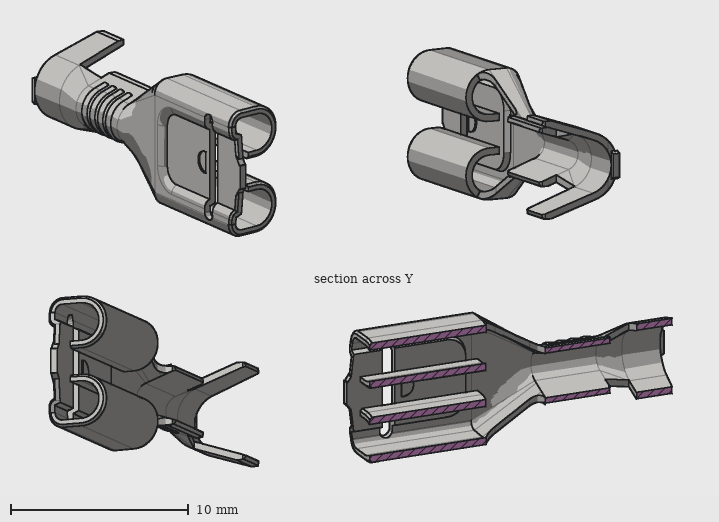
import math

import cadquery as cq


sheet = 0.40
total_length = 19.56
tail_end = 0.25
insulation_end = 2.61
barrel_start = 4.20
barrel_end = 8.17
receptacle_start = 11.81
half_width = 3.72
overshoot = 1.0
pick_margin = 0.04

lean = math.radians(18.5)
insulation_radius = 2.00
insulation_top = 4.58
barrel_radius = 1.27
barrel_top = 2.81
coin_length = 0.40
coin_depth = 0.15
tip_corner = 0.15

slant_base_y = 0.60
wing_tip_x = 0.59
tab_tip_half = 0.68
tab_root_half = 0.80

neck_top_rear = 1.44
neck_top_front = 1.77
web_top_rear = 1.87
web_top_front = 1.95
barrel_blend = 0.72
receptacle_blend = 0.78
shoulder_leg = 0.22

rib_count = 4
rib_first = 5.04
rib_pitch = 0.76
rib_width = 0.50
rib_height = 0.09
rib_top = 1.50

corner_radius = 0.84
curl_outer_radius = 1.48
curl_center_y = 1.95
curl_lip_y = 1.31
curl_center_z = half_width - curl_outer_radius
floor_half = half_width - corner_radius
front_root_x = 19.07
front_top_x = 18.86
front_chamfer = 0.14
front_chamfer_angle = 45

panel_start = 12.42
panel_half = 2.20
panel_corner = 1.00
panel_depth = 0.35
panel_step = 0.14
panel_round = 0.53
panel_bevel = 0.12
panel_edge_x = 19.15
nose_root_x = 19.29
nose_root_half = 1.00
nose_neck_x = 19.50
nose_half = 0.70
slot_start = 16.63
slot_end = 17.39
slot_half = 3.12
detent_x = 16.23
detent_half = 0.63
detent_reach = 0.72
detent_depth = 0.10


def section_plane(x):
    """Plane across the terminal; local coordinates are (Y, Z)."""
    return cq.Workplane("YZ", origin=(x, 0, 0))


def mirrored(point):
    return (point[0], -point[1])


def on_wing(radius, along, depth):
    """Point on a wing leg, a distance along it and a depth in from its outer face."""
    arm = radius - depth
    y = radius - arm * math.sin(lean) + along * math.cos(lean)
    z = arm * math.cos(lean) + along * math.sin(lean)
    return (y, z)


def leg_length(radius, top):
    """Leg length for which the inner edge of the tip is at height top."""
    return (top - on_wing(radius, 0, sheet)[0]) / math.cos(lean)


def on_circle(center, radius, angle):
    """Point on a circle; the angle turns from +Z toward +Y."""
    return (center[0] + radius * math.sin(angle), center[1] + radius * math.cos(angle))


def symmetric_section(x, half, round_bottom):
    """Closed section mirrored about Z = 0.

    half runs from the outer face of the bottom, around the edge, to its inner face.
    Each step is (end,) for a straight line or (middle, end) for an arc.
    """
    first = half[0][-1]
    last = half[-1][-1]

    def step_to(outline, middle, end):
        if middle is None:
            return outline.lineTo(*end)
        return outline.threePointArc(middle, end)

    outer_middle = (0, 0) if round_bottom else None
    inner_middle = (sheet, 0) if round_bottom else None
    outline = section_plane(x).moveTo(*mirrored(first))
    outline = step_to(outline, outer_middle, first)
    for step in half[1:]:
        outline = step_to(outline, step[0] if len(step) == 2 else None, step[-1])
    outline = step_to(outline, inner_middle, mirrored(last))
    for index in range(len(half) - 1, 0, -1):
        step = half[index]
        middle = mirrored(step[0]) if len(step) == 2 else None
        outline = step_to(outline, middle, mirrored(half[index - 1][-1]))
    return outline.close()


def crimp_section(x, radius, top):
    """U section with coined (thinned) wing tips."""
    length = leg_length(radius, top)
    half = [
        (on_wing(radius, 0, 0),),
        (on_wing(radius, length - coin_length, 0),),
        (on_wing(radius, length, coin_depth),),
        (on_wing(radius, length, sheet),),
        (on_wing(radius, 0, sheet),),
    ]
    return symmetric_section(x, half, round_bottom=True)


def crimp(start, end, radius, top):
    return crimp_section(start, radius, top).extrude(end - start)


def xy_prism(points):
    """Prism through the full width with an outline in the XY plane."""
    depth = half_width + overshoot
    return cq.Workplane("XY").polyline(points).close().extrude(depth, both=True)


def trim_wing_corners(body, x_rear, x_front, top):
    """Bevel the corners of the wing tips at both ends."""
    high = top + overshoot
    for x, inward in ((x_rear, 1), (x_front, -1)):
        outside = x - inward * overshoot
        corner = [
            (outside, top - tip_corner),
            (x, top - tip_corner),
            (x + inward * tip_corner, top),
            (x + inward * tip_corner, high),
            (outside, high),
        ]
        body = body.cut(xy_prism(corner))
    return body


def insulation_crimp():
    body = crimp(tail_end, insulation_end, insulation_radius, insulation_top)
    slant = [
        (-overshoot, slant_base_y),
        (tail_end, slant_base_y),
        (wing_tip_x, insulation_top),
        (wing_tip_x, insulation_top + overshoot),
        (-overshoot, insulation_top + overshoot),
    ]
    body = body.cut(xy_prism(slant))
    body = trim_wing_corners(body, wing_tip_x, insulation_end, insulation_top)
    tab = (
        cq.Workplane("XZ")
        .polyline([
            (0, -tab_tip_half),
            (0, tab_tip_half),
            (tail_end, tab_root_half),
            (tail_end, -tab_root_half),
        ])
        .close()
        .extrude(-sheet)
    )
    return body.union(tab)


def rib(x):
    """Round bead around the barrel bottom and up both legs."""
    radius = (rib_width ** 2 / 4 + rib_height ** 2) / (2 * rib_height)
    depth = radius - rib_height
    length = (rib_top - on_wing(barrel_radius, 0, 0)[0]) / math.cos(lean)
    root = on_wing(barrel_radius, 0, depth)
    end = on_wing(barrel_radius, length, depth)
    path = (
        section_plane(x)
        .moveTo(*mirrored(end))
        .lineTo(*mirrored(root))
        .threePointArc((depth, 0), root)
        .lineTo(*end)
    )
    across = cq.Plane(
        origin=(x, *mirrored(end)),
        xDir=(1, 0, 0),
        normal=(0, -math.cos(lean), math.sin(lean)),
    )
    return cq.Workplane(across).circle(radius).sweep(path)


def wire_barrel():
    body = crimp(barrel_start, barrel_end, barrel_radius, barrel_top)
    body = trim_wing_corners(body, barrel_start, barrel_end, barrel_top)
    foot = on_wing(barrel_radius, 0, sheet / 2)
    tip = on_wing(barrel_radius, leg_length(barrel_radius, barrel_top), sheet / 2)
    hollow = (
        section_plane(barrel_start)
        .moveTo(*mirrored(foot))
        .threePointArc((sheet / 2, 0), foot)
        .lineTo(*tip)
        .lineTo(*mirrored(tip))
        .close()
        .extrude(barrel_end - barrel_start)
    )
    for index in range(rib_count):
        body = body.union(rib(rib_first + index * rib_pitch).cut(hollow))
    return body


def loft(first, second):
    """Ruled sheet between two sections with matching corners."""
    wires = [first.wires().val(), second.wires().val()]
    return cq.Workplane(cq.Solid.makeLoft(wires, True))


def neck():
    """Web that narrows from the insulation crimp to the wire barrel."""
    high = barrel_top + overshoot
    web = loft(
        crimp_section(insulation_end, insulation_radius, high),
        crimp_section(barrel_start, barrel_radius, high),
    )
    above = [
        (insulation_end, neck_top_rear),
        (barrel_start, neck_top_front),
        (barrel_start, high + overshoot),
        (insulation_end, high + overshoot),
    ]
    return web.cut(xy_prism(above))


def shoulder_rear_section():
    """Barrel section, split along its legs to match the receptacle section."""
    top = leg_length(barrel_radius, barrel_top)
    fold = leg_length(barrel_radius, web_top_front)
    half = [
        (on_wing(barrel_radius, 0, 0),),
        (on_wing(barrel_radius, shoulder_leg, 0),),
        (on_wing(barrel_radius, fold, 0),),
        (on_wing(barrel_radius, top, 0),),
        (on_wing(barrel_radius, top, sheet),),
        (on_wing(barrel_radius, fold, sheet),),
        (on_wing(barrel_radius, shoulder_leg, sheet),),
        (on_wing(barrel_radius, 0, sheet),),
    ]
    return symmetric_section(barrel_end, half, round_bottom=True)


def receptacle_corner(depth, turn=0):
    """Point on the lower corner, a distance in from its outer face."""
    return on_circle((corner_radius, floor_half), corner_radius - depth, turn)


def curl_point(depth, turn):
    """Point on the curl, a distance in from its outer face."""
    return on_circle((curl_center_y, curl_center_z), curl_outer_radius - depth, turn)


def shoulder_front_section():
    """Receptacle section up to the lower part of the curl."""
    turn = math.asin(receptacle_blend / curl_outer_radius)
    half = [
        ((0, floor_half),),
        (receptacle_corner(0, -math.pi / 4), receptacle_corner(0)),
        (curl_point(0, 0),),
        (curl_point(0, turn / 2), curl_point(0, turn)),
        (curl_point(sheet, turn),),
        (curl_point(sheet, turn / 2), curl_point(sheet, 0)),
        (receptacle_corner(sheet),),
        (receptacle_corner(sheet, -math.pi / 4), (sheet, floor_half)),
    ]
    return symmetric_section(receptacle_start, half, round_bottom=False)


def shoulder():
    """Web that widens from the wire barrel to the receptacle."""
    web = loft(shoulder_rear_section(), shoulder_front_section())
    diagonal = math.sqrt(0.5)
    high = barrel_top + overshoot
    barrel_mid = barrel_blend * (1 - diagonal)
    receptacle_mid = receptacle_blend * (1 - diagonal)
    above = (
        cq.Workplane("XY")
        .moveTo(barrel_end, high)
        .lineTo(barrel_end, web_top_rear + barrel_blend)
        .threePointArc(
            (barrel_end + barrel_mid, web_top_rear + barrel_mid),
            (barrel_end + barrel_blend, web_top_rear),
        )
        .lineTo(receptacle_start - receptacle_blend, web_top_front)
        .threePointArc(
            (receptacle_start - receptacle_mid, web_top_front + receptacle_mid),
            (receptacle_start, web_top_front + receptacle_blend),
        )
        .lineTo(receptacle_start, high)
        .close()
        .extrude(half_width + overshoot, both=True)
    )
    return web.cut(above)


def receptacle_shell():
    """Flat floor with both sides rolled inward over it."""
    quarter = math.pi / 2
    half = [
        ((0, floor_half),),
        (receptacle_corner(0, -math.pi / 4), receptacle_corner(0)),
        (curl_point(0, 0),),
        (curl_point(0, quarter), curl_point(0, 2 * quarter)),
        ((curl_lip_y, curl_center_z - curl_outer_radius),),
        ((curl_lip_y, curl_center_z - curl_outer_radius + sheet),),
        (curl_point(sheet, 2 * quarter),),
        (curl_point(sheet, quarter), curl_point(sheet, 0)),
        (receptacle_corner(sheet),),
        (receptacle_corner(sheet, -math.pi / 4), (sheet, floor_half)),
    ]
    section = symmetric_section(receptacle_start, half, round_bottom=False)
    return section.extrude(total_length - receptacle_start)


def side_tip(slant):
    """Tapered block filling the outline of one rolled side up to its slanted front."""
    inner_z = curl_center_z - curl_outer_radius
    back = front_root_x - front_chamfer
    plane = cq.Plane(
        origin=(back, 0, 0),
        xDir=(-math.sin(slant), math.cos(slant), 0),
        normal=(math.cos(slant), math.sin(slant), 0),
    )
    return (
        cq.Workplane(plane)
        .moveTo(0, floor_half)
        .threePointArc(receptacle_corner(0, -math.pi / 4), receptacle_corner(0))
        .lineTo(*curl_point(0, 0))
        .threePointArc(curl_point(0, math.pi / 2), curl_point(0, math.pi))
        .lineTo(0, inner_z)
        .close()
        .extrude(front_chamfer, taper=front_chamfer_angle)
    )


def trim_rolled_sides(body):
    """Slant the front ends of the rolled sides and chamfer their outer edges."""
    beyond = total_length + overshoot
    high = curl_center_y + curl_outer_radius
    slant = math.atan((front_root_x - front_top_x) / high)
    back = front_root_x - front_chamfer
    ends = xy_prism([
        (back, 0),
        (back - high * math.tan(slant), high),
        (beyond, high),
        (beyond, 0),
    ])
    floor = cq.Workplane("XY").box(
        beyond, 2 * corner_radius, 2 * floor_half, centered=(False, True, True)
    )
    tip = side_tip(slant)
    return body.cut(ends.cut(floor).cut(tip).cut(tip.mirror("XY")))


def panel_frustum(base_y, growth):
    """Tapered block for the floor panel, widest at base_y and running past the front."""
    taper = math.degrees(math.atan(panel_step / panel_depth))
    start = panel_start - growth
    length = total_length + overshoot - start
    width = 2 * (panel_half + growth)
    outline = cq.Sketch().rect(length, width).vertices("<X").fillet(panel_corner + growth)
    return (
        cq.Workplane("XZ", origin=(start + length / 2, base_y, 0))
        .placeSketch(outline)
        .extrude(-panel_depth, taper=taper)
    )


def recess_panel(body):
    """Press the panel inward and round the mouth of the recess."""
    slope = math.atan(panel_depth / panel_step)
    wall = sheet / math.sin(slope) - sheet / math.tan(slope)
    body = body.union(panel_frustum(sheet, wall)).cut(panel_frustum(0, 0))
    mouth = cq.selectors.BoxSelector(
        (panel_start - pick_margin, -pick_margin, -panel_half - pick_margin),
        (total_length - pick_margin, pick_margin, panel_half + pick_margin),
    )
    return body.edges(mouth).fillet(panel_round)


def trim_floor_front(body):
    """Shape the front edge of the floor with its nose."""
    beyond = total_length + overshoot
    side = half_width + overshoot
    half = [
        (front_root_x, floor_half),
        (panel_edge_x, panel_half),
        (nose_root_x, nose_root_half),
        (nose_neck_x, nose_half),
        (total_length, nose_half),
    ]
    outline = [(front_root_x, side)] + half + [(total_length, 0), (beyond, 0), (beyond, side)]
    for sign in (1, -1):
        corner = (
            cq.Workplane("XZ", origin=(0, -overshoot, 0))
            .polyline([(x, sign * z) for x, z in outline])
            .close()
            .extrude(-overshoot - corner_radius)
        )
        body = body.cut(corner)
    for low, high in ((nose_root_half, panel_half), (-panel_half, -nose_root_half)):
        edge = cq.selectors.BoxSelector(
            (panel_edge_x - pick_margin, panel_depth - pick_margin, low),
            (nose_root_x + pick_margin, panel_depth + pick_margin, high),
        )
        body = body.edges(edge).chamfer(panel_bevel)
    return body


def floor_slot():
    middle = (slot_start + slot_end) / 2
    return (
        cq.Workplane("XZ", origin=(middle, -overshoot, 0))
        .slot2D(2 * slot_half, slot_end - slot_start, 90)
        .extrude(-overshoot - curl_lip_y)
    )


def detent(base_y):
    """Half disc with its straight edge toward the front."""
    return (
        cq.Workplane("XZ", origin=(0, base_y, 0))
        .moveTo(detent_x, -detent_half)
        .threePointArc((detent_x - detent_reach, 0), (detent_x, detent_half))
        .close()
        .extrude(-detent_depth)
    )


def receptacle():
    body = receptacle_shell()
    body = recess_panel(body)
    body = body.union(detent(panel_depth + sheet)).cut(detent(panel_depth))
    body = trim_rolled_sides(body)
    body = trim_floor_front(body)
    return body.cut(floor_slot())


result = (
    insulation_crimp()
    .union(neck())
    .union(wire_barrel())
    .union(shoulder())
    .union(receptacle())
)